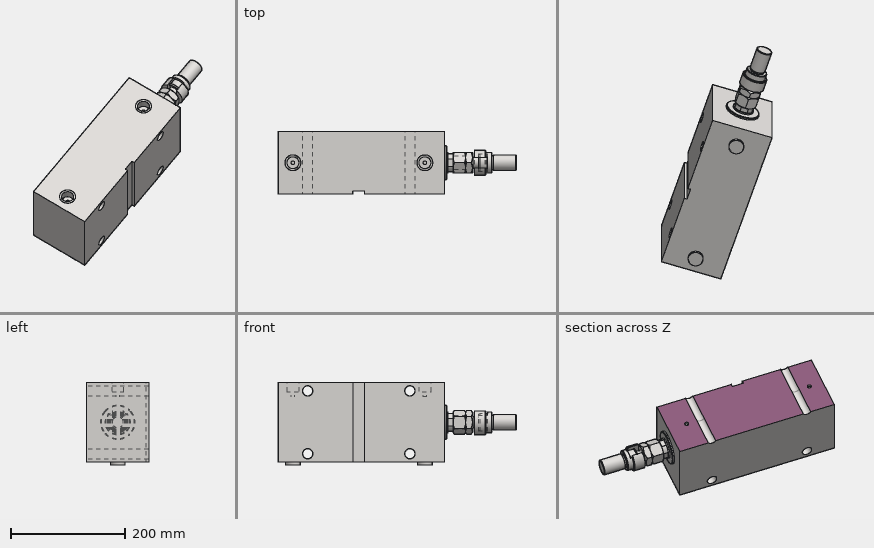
import cadquery as cq
import math

block_length = 292.0
block_depth = 110.0
block_height = 140.0
mount_hole_dia = 17.5
mount_hole_places = (51.8, 231.0)
mount_hole_offset = 55.0
key_slot_start = 131.0
key_slot_width = 20.0
key_slot_depth = 5.0
boss_radius = 30.0
boss_length = 3.8
boss_chamfer = 1.3

port_places = (26.0, 257.0)
spotface_dia = 28.0
spotface_depth = 0.5
port_dia = 21.0
port_depth = 16.5
passage_dia = 6.3
passage_depth = 8.5
plug_dia = 26.5
plug_height = 5.0

rod_start = block_length + boss_length
collar_radius = 18.5
collar_length = 2.5
neck_radius = 17.0
neck_length = 8.8
wrench_width = 31.7
thread_radius = 12.0

hex_width = 36.5
hex_chamfer = (2.0, 3.0)
stud_end_chamfer = (3.5, 4.0)
nut_length = 21.7
stud_hex_length = 13.0
stud_neck_radius = 9.5
stud_neck_length = 10.0
stud_root_fillet = 1.3
head_radius = 15.5
head_face_radius = 13.8
head_length = 14.0
head_taper_length = 2.5

sleeve_gap = 2.5
slot_end_clearance = 1.3
sleeve_radius = 22.0
sleeve_length = 20.0
shoulder_radius = 18.5
shoulder_length = 11.0
sleeve_chamfer = 1.3
relief_radius = 12.5
relief_length = 3.0
shaft_radius = 13.8
shaft_chamfer = 1.3
total_length = 417.5

neck_start = rod_start + collar_length
nut_start = neck_start + neck_length
stud_start = nut_start + nut_length
stud_neck_start = stud_start + stud_hex_length
head_start = stud_neck_start + stud_neck_length
head_end = head_start + head_length
sleeve_start = stud_neck_start + sleeve_gap
shoulder_start = sleeve_start + sleeve_length
relief_start = shoulder_start + shoulder_length
shaft_start = relief_start + relief_length


def disc(start, length, radius):
    """A cylinder on the X axis that begins at the given station."""
    return cq.Workplane("YZ", origin=(start, 0, 0)).circle(radius).extrude(length)


def hexagon(start, length, end_chamfer):
    """A hexagon on the X axis, corners at top and bottom, chamfered at both ends."""
    corner_radius = hex_width / 2 / math.cos(math.pi / 6)
    prism = (
        cq.Workplane("YZ", origin=(start, 0, 0))
        .transformed(rotate=(0, 0, 90))
        .polygon(6, 2 * corner_radius)
        .extrude(length)
    )
    envelope = (
        cq.Workplane("XY")
        .moveTo(start, 0)
        .lineTo(start, corner_radius - hex_chamfer[1])
        .lineTo(start + hex_chamfer[0], corner_radius)
        .lineTo(start + length - end_chamfer[0], corner_radius)
        .lineTo(start + length, corner_radius - end_chamfer[1])
        .lineTo(start + length, 0)
        .close()
        .revolve(360, (0, 0, 0), (1, 0, 0))
    )
    return prism.intersect(envelope)


def make_block():
    block = cq.Workplane("XY").box(block_length, block_depth, block_height, centered=(False, True, True))
    boss = disc(block_length, boss_length, boss_radius).faces(">X").chamfer(boss_chamfer)
    block = block.union(boss)

    mount_points = [(x, z) for x in mount_hole_places for z in (-mount_hole_offset, mount_hole_offset)]
    mount_holes = (
        cq.Workplane("XZ")
        .pushPoints(mount_points)
        .circle(mount_hole_dia / 2)
        .extrude(block_depth, both=True)
    )

    key_slot = (
        cq.Workplane("XY")
        .box(key_slot_width, key_slot_depth, block_height, centered=(False, False, True))
        .translate((key_slot_start, -block_depth / 2, 0))
    )

    port_points = [(x, 0) for x in port_places]
    top = cq.Workplane("XY", origin=(0, 0, block_height / 2)).pushPoints(port_points)
    spotfaces = top.circle(spotface_dia / 2).extrude(-spotface_depth)
    ports = top.circle(port_dia / 2).extrude(-port_depth)
    passages = top.circle(passage_dia / 2).extrude(-(port_depth + passage_depth))

    for cutter in (mount_holes, key_slot, spotfaces, ports, passages):
        block = block.cut(cutter)
    return block


def make_plug(x):
    return cq.Workplane("XY", origin=(x, 0, -block_height / 2)).circle(plug_dia / 2).extrude(-plug_height)


def make_rod():
    """Collar, neck with four wrench flats and a threaded end that fills the nut."""
    collar = disc(rod_start, collar_length, collar_radius)
    flats = (
        cq.Workplane("YZ", origin=(neck_start, 0, 0)).rect(wrench_width, wrench_width).extrude(neck_length)
    )
    neck = disc(neck_start, neck_length, neck_radius).intersect(flats)
    thread = disc(nut_start, nut_length, thread_radius)
    return collar.union(neck).union(thread)


def make_nut():
    return hexagon(nut_start, nut_length, hex_chamfer).cut(disc(nut_start, nut_length, thread_radius))


def make_stud():
    """Hexagon, narrow neck with a filleted root, and a tapered head held in the sleeve."""
    neck_and_head = (
        cq.Workplane("XY")
        .moveTo(stud_neck_start, 0)
        .lineTo(stud_neck_start, stud_neck_radius + stud_root_fillet)
        .radiusArc((stud_neck_start + stud_root_fillet, stud_neck_radius), -stud_root_fillet)
        .lineTo(head_start, stud_neck_radius)
        .lineTo(head_start, head_face_radius)
        .lineTo(head_start + head_taper_length, head_radius)
        .lineTo(head_end, head_radius)
        .lineTo(head_end, 0)
        .close()
        .revolve(360, (0, 0, 0), (1, 0, 0))
    )
    return hexagon(stud_start, stud_hex_length, stud_end_chamfer).union(neck_and_head)


def make_sleeve():
    """Stepped sleeve and shaft, slotted from above for the stud's neck and head."""
    body = disc(sleeve_start, sleeve_length, sleeve_radius).faces(">X").chamfer(sleeve_chamfer)
    shoulder = disc(shoulder_start, shoulder_length, shoulder_radius).faces(">X").chamfer(sleeve_chamfer)
    relief = disc(relief_start, relief_length, relief_radius)
    shaft = disc(shaft_start, total_length - shaft_start, shaft_radius).faces(">X").chamfer(shaft_chamfer)
    sleeve = body.union(shoulder).union(relief).union(shaft)

    slot_end = head_end + slot_end_clearance
    slot_length = slot_end - sleeve_start
    slot = (
        cq.Workplane("XY")
        .box(slot_length, 2 * stud_neck_radius, sleeve_radius, centered=(False, True, False))
        .translate((sleeve_start, 0, 0))
    )
    neck_bore = disc(sleeve_start, slot_length, stud_neck_radius)
    head_recess = disc(head_start, slot_end - head_start, head_radius)
    return sleeve.cut(slot).cut(neck_bore).cut(head_recess)


block = make_block()
plugs = [make_plug(x) for x in port_places]
rod = make_rod()
nut = make_nut()
stud = make_stud()
sleeve = make_sleeve()

result = cq.Compound.makeCompound(
    [block.val(), *[plug.val() for plug in plugs], rod.val(), nut.val(), stud.val(), sleeve.val()]
)